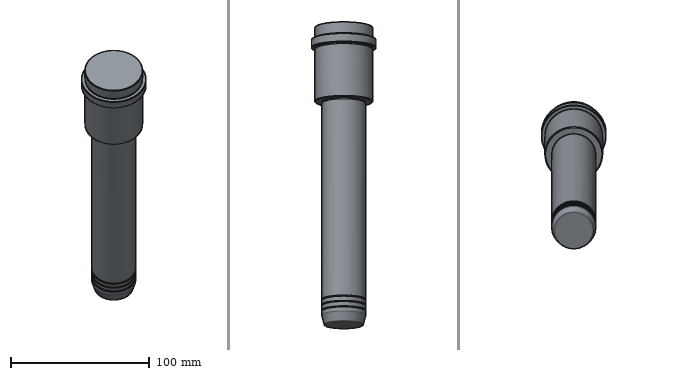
import cadquery as cq
import math

TOTAL_HEIGHT = 220.0
HEAD_BOTTOM = 164.8
FLANGE_BOTTOM = 204.5
FLANGE_TOP = 211.0

SHAFT_DIAMETER = 32.1
HEAD_DIAMETER = 42.0
FLANGE_DIAMETER = 47.0

TIP_HEIGHT = 7.0
TIP_ANGLE = 15.0
TIP_FILLET = 0.5

HEAD_BOTTOM_CHAMFER = 0.7
HEAD_TOP_CHAMFER = 0.5
FLANGE_CHAMFER = 0.5

UNDERCUT_WIDTH = 0.9
UNDERCUT_DEPTH = 0.2

GROOVE_COUNT = 3
GROOVE_PITCH = 4.0
GROOVE_WIDTH = 0.9
GROOVE_DEPTH = 0.33
LOWEST_GROOVE_BOTTOM = 10.1

CUTTER_CLEARANCE = 1.0


def cylinder(diameter, bottom, top):
    return cq.Workplane("XY").workplane(offset=bottom).circle(diameter / 2).extrude(top - bottom)


def groove_cutter(diameter, bottom, width, depth):
    """Ring that cuts a square groove into a cylinder of the given diameter."""
    top = bottom + width
    outer = cylinder(diameter + 2 * CUTTER_CLEARANCE, bottom, top)
    return outer.cut(cylinder(diameter - 2 * depth, bottom, top))


def make_tip():
    tip_diameter = SHAFT_DIAMETER - 2 * TIP_HEIGHT * math.tan(math.radians(TIP_ANGLE))
    cone = (
        cq.Workplane("XY")
        .circle(tip_diameter / 2)
        .workplane(offset=TIP_HEIGHT)
        .circle(SHAFT_DIAMETER / 2)
        .loft()
    )
    return cone.faces("<Z").edges().fillet(TIP_FILLET)


def make_shaft():
    shaft = make_tip().union(cylinder(SHAFT_DIAMETER, TIP_HEIGHT, HEAD_BOTTOM))
    for index in range(GROOVE_COUNT):
        bottom = LOWEST_GROOVE_BOTTOM + index * GROOVE_PITCH
        shaft = shaft.cut(groove_cutter(SHAFT_DIAMETER, bottom, GROOVE_WIDTH, GROOVE_DEPTH))
    undercut_bottom = HEAD_BOTTOM - UNDERCUT_WIDTH
    return shaft.cut(groove_cutter(SHAFT_DIAMETER, undercut_bottom, UNDERCUT_WIDTH, UNDERCUT_DEPTH))


def make_head():
    head = cylinder(HEAD_DIAMETER, HEAD_BOTTOM, TOTAL_HEIGHT)
    head = head.faces("<Z").edges().chamfer(HEAD_BOTTOM_CHAMFER)
    head = head.faces(">Z").edges().chamfer(HEAD_TOP_CHAMFER)
    for bottom in (FLANGE_BOTTOM - UNDERCUT_WIDTH, FLANGE_TOP):
        head = head.cut(groove_cutter(HEAD_DIAMETER, bottom, UNDERCUT_WIDTH, UNDERCUT_DEPTH))
    return head


def make_flange():
    return cylinder(FLANGE_DIAMETER, FLANGE_BOTTOM, FLANGE_TOP).edges("%CIRCLE").chamfer(FLANGE_CHAMFER)


result = make_shaft().union(make_head()).union(make_flange())